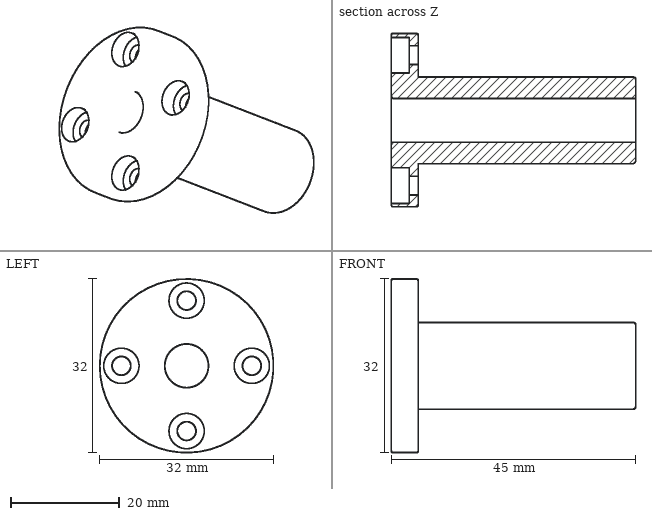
import cadquery as cq

total_length = 45.0
flange_diameter = 32.0
flange_thickness = 5.0
sleeve_diameter = 16.0
bore_diameter = 8.0

flange_front_radius = 0.3
flange_back_radius = 0.4
sleeve_end_radius = 0.5
bore_mouth_radius = 0.5

hole_count = 4
hole_circle_diameter = 24.0
hole_diameter = 3.4
counterbore_diameter = 6.5
counterbore_depth = 3.3


def make_flange():
    """Round flange with its mounting face at X = 0 and both rims rounded."""
    disc = cq.Workplane("YZ").circle(flange_diameter / 2).extrude(flange_thickness)
    disc = disc.faces("<X").edges().fillet(flange_front_radius)
    return disc.faces(">X").edges().fillet(flange_back_radius)


def make_sleeve():
    """Cylindrical sleeve along X, rounded at its free end."""
    sleeve = cq.Workplane("YZ").circle(sleeve_diameter / 2).extrude(total_length)
    return sleeve.faces(">X").edges().fillet(sleeve_end_radius)


def cut_bore(solid):
    """Cut the through bore along X and round its mouth in the flange face."""
    bore = cq.Workplane("YZ").circle(bore_diameter / 2).extrude(total_length)
    smallest_circle = cq.selectors.RadiusNthSelector(0)
    return solid.cut(bore).faces("<X").edges(smallest_circle).fillet(bore_mouth_radius)


def make_hole_pattern(diameter, depth):
    """Cylinders entering the flange face, evenly spaced on the hole circle."""
    centers = cq.Workplane("YZ").polarArray(hole_circle_diameter / 2, 0, 360, hole_count)
    return centers.circle(diameter / 2).extrude(depth)


body = cut_bore(make_flange().union(make_sleeve()))
screw_holes = make_hole_pattern(hole_diameter, flange_thickness)
counterbores = make_hole_pattern(counterbore_diameter, counterbore_depth)
result = body.cut(screw_holes).cut(counterbores)